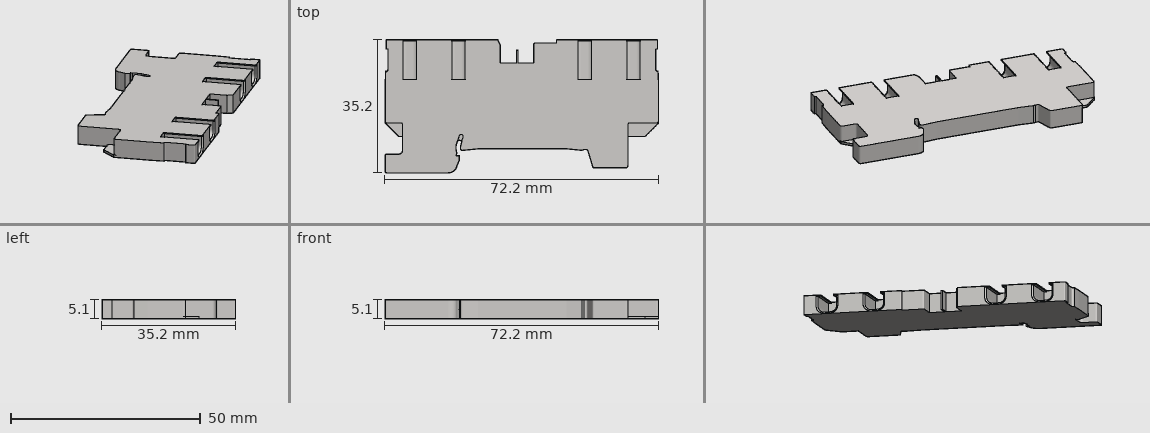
import cadquery as cq

length = 72.2
height = 35.2
thickness = 5.1

shoulder_inset = 0.3
recess_inset = 0.75
upper_wall_inset = 0.15
shoulder_bottom = 32.65
upper_wall_top = 26.85
upper_wall_bottom = 23.2
body_bottom = 13.2

leg_left = 4.6
foot_top = 5.0
toe_start = (16.7, 0)
toe_bend = (18.2, 0.55)
toe_end = (19.0, 1.9)
foot_right = 19.6
toe_top = 3.3
foot_lip = 4.6

throat_entry = (18.75, foot_lip)
throat_knee = (19.0, 5.2)
throat_left_bend = (18.75, 6.6)
throat_left_end = (19.3, 8.7)
throat_right_end = (20.3, 8.4)
throat_right_bend = (20.0, 7.5)
throat_right_start = (19.85, 6.6)
throat_corner_bend = (20.05, 6.1)

rail_lip = 5.95
rail_face = 6.35
rail_lip_left = 20.65
rail_face_left = 24.6
rail_face_right = 47.9
rail_lip_right = 51.9
bump_left = 52.5
bump_top = 6.15

leg_slope_top = 53.4
leg_slope_bottom = 54.85
right_leg_right = 64.1
right_leg_bottom = 1.35

relief_width = 1.05
relief_lean = 70
relief_end = (20.1, 9.65)
relief_length = 1.3
relief_depth = thickness / 2

notch_left = 30.45
notch_right = 39.2
notch_floor = 29.05
notch_bevel_width = 0.7
notch_bevel_height = 1.5
step_right = 45.2
step_top = 34.3
rib_left = 34.65
rib_width = 0.45
rib_top = 32.4

opening_width = 3.5
bore_width = 5.1
bore_floor = 0.5
bore_corner = (bore_width - opening_width / 2) / 2
bore_length = 10.5
bore_pitch = 12.85
left_pair_start = 4.8
right_pair_start = 50.95
opening_lefts = [
    left_pair_start,
    left_pair_start + bore_pitch,
    right_pair_start,
    right_pair_start + bore_pitch,
]
lip_thickness = 0.3
mouth_chamfer = 0.42
mouth_angle = 45

ledge_thickness = 0.65
ledge_bottom = 9.6
ledge_slant = body_bottom - ledge_bottom

body_radius = 0.6
foot_radius = 0.5
foot_inner_radius = 1.0
shoulder_radius = 0.25
small_radius = 0.4


def build_body():
    """Plate cut to the full outline, with its corners still sharp."""
    outline = (
        cq.Workplane("XY")
        .moveTo(shoulder_inset, height)
        .lineTo(shoulder_inset, shoulder_bottom)
        .lineTo(recess_inset, shoulder_bottom)
        .lineTo(recess_inset, upper_wall_top)
        .lineTo(upper_wall_inset, upper_wall_top)
        .lineTo(0, upper_wall_bottom)
        .lineTo(0, body_bottom)
        .lineTo(leg_left, body_bottom)
        .lineTo(leg_left, foot_top)
        .lineTo(0, foot_top)
        .lineTo(0, 0)
        .lineTo(*toe_start)
        .threePointArc(toe_bend, toe_end)
        .lineTo(foot_right, toe_top)
        .lineTo(foot_right, foot_lip)
        .lineTo(*throat_entry)
        .lineTo(*throat_knee)
        .threePointArc(throat_left_bend, throat_left_end)
        .lineTo(*throat_right_end)
        .threePointArc(throat_right_bend, throat_right_start)
        .threePointArc(throat_corner_bend, (rail_lip_left, rail_lip))
        .lineTo(rail_face_left, rail_face)
        .lineTo(rail_face_right, rail_face)
        .lineTo(rail_lip_right, rail_lip)
        .lineTo(bump_left, bump_top)
        .lineTo(leg_slope_top, bump_top)
        .lineTo(leg_slope_bottom, right_leg_bottom)
        .lineTo(right_leg_right, right_leg_bottom)
        .lineTo(right_leg_right, body_bottom)
        .lineTo(length, body_bottom)
        .lineTo(length, upper_wall_bottom)
        .lineTo(length - upper_wall_inset, upper_wall_top)
        .lineTo(length - recess_inset, upper_wall_top)
        .lineTo(length - recess_inset, shoulder_bottom)
        .lineTo(length - shoulder_inset, shoulder_bottom)
        .lineTo(length - shoulder_inset, height)
        .lineTo(step_right, height)
        .lineTo(step_right, step_top)
        .lineTo(notch_right, step_top)
        .lineTo(notch_right, notch_floor)
        .lineTo(notch_left, notch_floor)
        .lineTo(notch_left, height - notch_bevel_height)
        .lineTo(notch_left - notch_bevel_width, height)
        .close()
    )
    return outline.extrude(thickness)


def bore_cutter(opening_left):
    """Bore with a flared mouth at the upper edge and a slot through its covering lips."""
    middle = opening_left + opening_width / 2
    section_height = 2 * (thickness - bore_floor)
    mouth_plane = cq.Plane(origin=(middle, height, thickness), xDir=(-1, 0, 0), normal=(0, 1, 0))
    straight = (
        cq.Workplane(mouth_plane)
        .sketch()
        .rect(bore_width, section_height)
        .vertices()
        .fillet(bore_corner)
        .finalize()
        .extrude(-bore_length)
    )
    flare = (
        cq.Workplane(mouth_plane)
        .sketch()
        .rect(bore_width + 2 * mouth_chamfer, section_height + 2 * mouth_chamfer)
        .vertices()
        .fillet(bore_corner + mouth_chamfer)
        .finalize()
        .extrude(-mouth_chamfer, taper=mouth_angle)
    )
    below_lips = cq.Workplane("XY").box(length, height, thickness - lip_thickness, centered=False)
    opening = (
        cq.Workplane("XY")
        .box(opening_width, bore_length, thickness / 2, centered=False)
        .translate((opening_left, height - bore_length, thickness / 2))
    )
    return straight.union(flare).intersect(below_lips).union(opening)


def round_corner(body, x, y, radius):
    """Round the vertical edge that stands at (x, y)."""
    reach = 0.05
    lower_limit = (x - reach, y - reach, 0)
    upper_limit = (x + reach, y + reach, thickness)
    corner = cq.selectors.BoxSelector(lower_limit, upper_limit)
    return body.edges("|Z").edges(corner).fillet(radius)


def round_corners(body):
    corners = [
        (0, 0, foot_radius),
        (0, foot_top, small_radius),
        (leg_left, foot_top, foot_inner_radius),
        (leg_left, body_bottom, small_radius),
        (0, body_bottom, body_radius),
        (length, body_bottom, body_radius),
        (right_leg_right, body_bottom, small_radius),
        (right_leg_right, right_leg_bottom, body_radius),
        (leg_slope_bottom, right_leg_bottom, small_radius),
        (leg_slope_top, bump_top, small_radius),
        (notch_right, step_top, small_radius),
        (step_right, height, shoulder_radius),
        (shoulder_inset, height, shoulder_radius),
        (length - shoulder_inset, height, shoulder_radius),
        (recess_inset, upper_wall_top, small_radius),
        (length - recess_inset, upper_wall_top, small_radius),
    ]
    for x, y, radius in corners:
        body = round_corner(body, x, y, radius)
    return body


def relief_cutter():
    """Round-ended slot, blind from the upper face."""
    return (
        cq.Workplane("XY")
        .box(relief_length, relief_width, relief_depth, centered=(False, True, False))
        .translate((-relief_length, 0, 0))
        .union(cq.Workplane("XY").circle(relief_width / 2).extrude(relief_depth))
        .rotate((0, 0, 0), (0, 0, 1), relief_lean)
        .translate((*relief_end, thickness - relief_depth))
    )


def build_rib():
    return (
        cq.Workplane("XY")
        .box(rib_width, rib_top - notch_floor, thickness, centered=False)
        .translate((rib_left, notch_floor, 0))
    )


def build_ledge(outer_x, slant_end_x, leg_x):
    """Thin corner plate between the body and a leg, flush with the lower face."""
    overlap_top = body_bottom + body_radius
    return (
        cq.Workplane("XY")
        .moveTo(outer_x, overlap_top)
        .lineTo(outer_x, body_bottom)
        .lineTo(slant_end_x, ledge_bottom)
        .lineTo(leg_x, ledge_bottom)
        .lineTo(leg_x, overlap_top)
        .close()
        .extrude(ledge_thickness)
    )


body = round_corners(build_body())
for left in opening_lefts:
    body = body.cut(bore_cutter(left))
body = body.cut(relief_cutter())
body = body.union(build_rib())
body = body.union(build_ledge(0, ledge_slant, leg_left))
result = body.union(build_ledge(length, length - ledge_slant, right_leg_right))